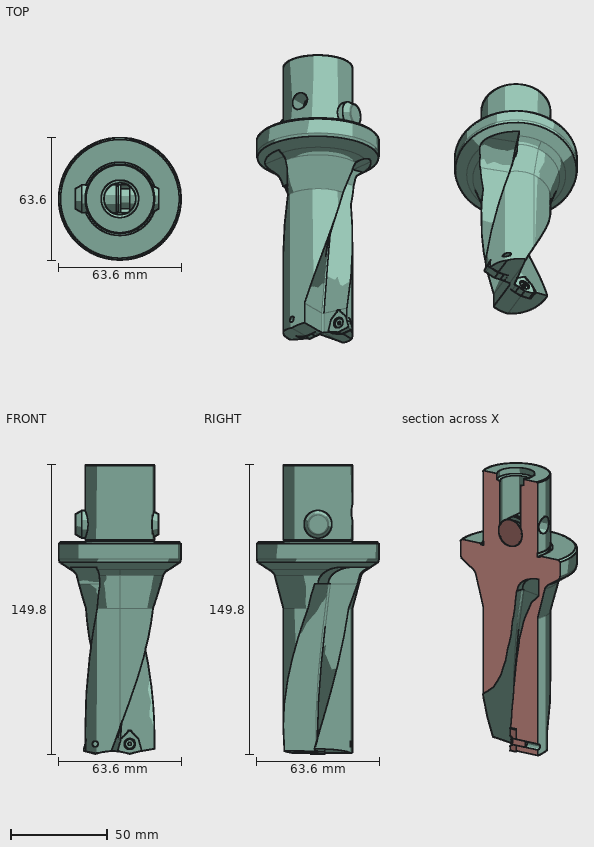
import cadquery as cq
import math


TOTAL_LENGTH = 149.8

SHANK_RADIUS = 18.0
SHANK_LENGTH = 40.0
SHANK_CHAMFER = 0.5
NECK_RADIUS = 17.7
NECK_TOP = 1.2
RELIEF_RADIUS = 19.0
RELIEF_DEPTH = 0.7
BORE_RADIUS = 8.2
COUNTERBORE_RADIUS = 9.7
COUNTERBORE_DEPTH = 3.3
COUNTERBORE_CONE = 0.6
SIDE_HOLE_RADIUS = 4.5
SIDE_HOLE_Z = 15.3

FLANGE_RADIUS = 31.8
FLANGE_CHAMFER = 1.0
RIM_BOTTOM = -8.7
BEVEL_BOTTOM = -10.5
BEVEL_WIDTH = 0.5
CONE_BOTTOM_RADIUS = 25.6
CONE_BOTTOM = -14.2
BLEND_MIDDLE_RADIUS = 23.7
BLEND_MIDDLE = -15.6
TAPER_TOP_RADIUS = 22.5
TAPER_TOP = -17.2
TAPER_BOTTOM = -34.3

DRILL_RADIUS = SHANK_RADIUS
TIP = SHANK_LENGTH - TOTAL_LENGTH
TIP_LOW = TIP + 0.5
TIP_VALLEY = TIP + 1.6
TIP_OUTER_RIM = TIP + 1.5
TIP_INNER_RIM = TIP + 2.7
BELOW_TIP = TIP - 1.5

INNER_TURN = 180
FACE_OFFSET = 0.3
FLUTE_TWIST_RATE = 0.9346
FLUTE_TWIST_END = -21.7
FLUTE_ROOT_RADIUS = 0.9
FLUTE_REACH = 45.0
FLUTE_SECTIONS = 7
RUNOUT_HEIGHT = 8.7
RUNOUT_LENGTH = 13.5
OUTER_FLUTE = {"start": -97.4, "wall": 3.0, "wall_drift": 0.05, "wall_lean": 0.0, "face_drift": 0.043}
INNER_FLUTE = {"start": -101.9, "wall": -0.6, "wall_drift": 0.078, "wall_lean": 5.0, "face_drift": 0.0}

INSERT_CORNERS = 3
INSERT_CORNER_RADIUS = 7.2
INSERT_MIDDLE_RADIUS = 5.2
INSERT_NOSE = 0.7
INSERT_NOSE_LIMIT = (INSERT_CORNER_RADIUS + INSERT_MIDDLE_RADIUS) / 2
INSERT_THICKNESS = 3.9
INSERT_Z = TIP + INSERT_MIDDLE_RADIUS
INNER_INSERT_X = 5.1
OUTER_INSERT_X = 12.7
SEATS = [(-OUTER_INSERT_X, 0), (-INNER_INSERT_X, INNER_TURN)]
CORNER_RELIEF_RADIUS = 1.0
SEAT_OPENING = 3.0
SCREW_RADIUS = 1.5
SCREW_LENGTH = 9.7
SCREW_HEAD_RADIUS = 2.8
SCREW_HEAD_HEIGHT = 1.8
SCREW_HEAD_SINK = 0.6
SOCKET_RADIUS = 0.9
SOCKET_DEPTH = 1.8

PIN_Z = 9.1
PIN_RADIUS = 7.2
PIN_TIP_RADIUS = 5.2
PIN_TIP_LENGTH = 3.5
LEFT_PIN_END = -23.0
LEFT_PIN_SHOULDER = 0.5
PIN_GROOVE_START = -1.8
PIN_GROOVE_END = -0.7
PIN_GROOVE_RADIUS = 6.6
PIN_RIM_FILLET = 0.6
STEM_RADIUS = 5.1
STEM_END = 5.1
RIGHT_PIN_END = 20.0


def revolve_about_z(outline):
    """Revolve an (r, z) outline drawn on the -Y side about the Z axis."""
    return outline.close().revolve(360, (0, 0, 0), (0, 1, 0))


def radial_plane():
    return cq.Workplane(cq.Plane((0, 0, 0), xDir=(0, -1, 0), normal=(-1, 0, 0)))


def turned_blank():
    """Shank, flange and drill body, before any cross feature is cut."""
    outline = (
        radial_plane()
        .moveTo(0, SHANK_LENGTH)
        .lineTo(SHANK_RADIUS - SHANK_CHAMFER, SHANK_LENGTH)
        .lineTo(SHANK_RADIUS, SHANK_LENGTH - SHANK_CHAMFER)
        .lineTo(SHANK_RADIUS, NECK_TOP)
        .lineTo(NECK_RADIUS, NECK_TOP - (SHANK_RADIUS - NECK_RADIUS))
        .lineTo(NECK_RADIUS, -RELIEF_DEPTH)
        .lineTo(RELIEF_RADIUS, -RELIEF_DEPTH)
        .lineTo(RELIEF_RADIUS, 0)
        .lineTo(FLANGE_RADIUS - FLANGE_CHAMFER, 0)
        .lineTo(FLANGE_RADIUS, -FLANGE_CHAMFER)
        .lineTo(FLANGE_RADIUS, RIM_BOTTOM)
        .lineTo(FLANGE_RADIUS - BEVEL_WIDTH, BEVEL_BOTTOM)
        .lineTo(CONE_BOTTOM_RADIUS, CONE_BOTTOM)
        .threePointArc((BLEND_MIDDLE_RADIUS, BLEND_MIDDLE), (TAPER_TOP_RADIUS, TAPER_TOP))
        .lineTo(DRILL_RADIUS, TAPER_BOTTOM)
        .lineTo(DRILL_RADIUS, BELOW_TIP)
        .lineTo(0, BELOW_TIP)
    )
    return revolve_about_z(outline)


def turn_about_z(shape, angle):
    return shape.rotate((0, 0, 0), (0, 0, 1), angle)


def tip_waste():
    """Stock below the tip, which runs straight along Y with a low ridge under each insert."""
    return (
        cq.Workplane("XZ")
        .moveTo(-DRILL_RADIUS, BELOW_TIP)
        .lineTo(-DRILL_RADIUS, TIP_OUTER_RIM)
        .lineTo(-OUTER_INSERT_X, TIP_LOW)
        .lineTo((INNER_INSERT_X - OUTER_INSERT_X) / 2, TIP_VALLEY)
        .lineTo(INNER_INSERT_X, TIP_LOW)
        .lineTo(DRILL_RADIUS, TIP_INNER_RIM)
        .lineTo(DRILL_RADIUS, BELOW_TIP)
        .close()
        .extrude(DRILL_RADIUS, both=True)
    )


def shank_bore():
    """Stepped bore that opens into the cross hole."""
    step = SHANK_LENGTH - COUNTERBORE_DEPTH
    outline = (
        radial_plane()
        .moveTo(0, SHANK_LENGTH)
        .lineTo(COUNTERBORE_RADIUS, SHANK_LENGTH)
        .lineTo(COUNTERBORE_RADIUS, step)
        .lineTo(BORE_RADIUS, step - COUNTERBORE_CONE)
        .lineTo(BORE_RADIUS, PIN_Z)
        .lineTo(0, PIN_Z)
    )
    return revolve_about_z(outline)


def cross_hole():
    return cq.Workplane("YZ").center(0, PIN_Z).circle(PIN_RADIUS).extrude(SHANK_RADIUS, both=True)


def side_hole():
    """Radial hole from the +Y side into the bore."""
    return cq.Workplane("XZ").center(0, SIDE_HOLE_Z).circle(SIDE_HOLE_RADIUS).extrude(-SHANK_RADIUS)


def flute_frame(z, flute):
    """Plane at height z with its origin at the flute root and its axes along the wall and face."""
    rise = z - flute["start"]
    turn = math.radians(FLUTE_TWIST_RATE * rise)
    wall_x = -(flute["wall"] + flute["wall_drift"] * rise)
    face_y = FACE_OFFSET + flute["face_drift"] * rise
    root_x = wall_x * math.cos(turn) - face_y * math.sin(turn)
    root_y = wall_x * math.sin(turn) + face_y * math.cos(turn)
    return cq.Plane((root_x, root_y, z), xDir=(math.cos(turn), math.sin(turn), 0), normal=(0, 0, 1))


def flute_section(z, flute):
    """Square corner with a rounded root: the wall runs along local +Y and the face along local -X."""
    wall_top_x = FLUTE_REACH * math.tan(math.radians(flute["wall_lean"]))
    arc_inset = FLUTE_ROOT_RADIUS * (1 - math.sqrt(0.5))
    return (
        cq.Workplane(flute_frame(z, flute))
        .moveTo(-FLUTE_ROOT_RADIUS, 0)
        .threePointArc((-arc_inset, arc_inset), (0, FLUTE_ROOT_RADIUS))
        .lineTo(wall_top_x, FLUTE_REACH)
        .lineTo(-FLUTE_REACH, FLUTE_REACH)
        .lineTo(-FLUTE_REACH, 0)
        .close()
    )


def twisted_flute(bottom, flute):
    step = (FLUTE_TWIST_END - bottom) / (FLUTE_SECTIONS - 1)
    heights = [bottom + step * i for i in range(FLUTE_SECTIONS)]
    wires = [flute_section(z, flute).val() for z in heights]
    return cq.Workplane(cq.Solid.makeLoft(wires))


def flute_tip(flute):
    """Straight length of flute from the start of the twist to below the tip."""
    return flute_section(flute["start"], flute).extrude(BELOW_TIP - flute["start"])


def flute_runout(flute):
    """Upper end, where the wall curves over into a level ceiling."""
    frame = flute_frame(FLUTE_TWIST_END, flute)
    face_plane = cq.Plane(frame.origin, xDir=-frame.xDir, normal=frame.yDir)
    return (
        cq.Workplane(face_plane)
        .ellipseArc(RUNOUT_LENGTH, RUNOUT_HEIGHT, 90, 180, sense=-1)
        .lineTo(FLUTE_REACH, RUNOUT_HEIGHT)
        .lineTo(FLUTE_REACH, 0)
        .close()
        .extrude(FLUTE_REACH)
    )


def outer_flute():
    twist = twisted_flute(OUTER_FLUTE["start"], OUTER_FLUTE)
    return twist.union(flute_tip(OUTER_FLUTE)).union(flute_runout(OUTER_FLUTE))


def inner_flute():
    twist = twisted_flute(BELOW_TIP, INNER_FLUTE)
    return turn_about_z(twist.union(flute_runout(INNER_FLUTE)), INNER_TURN)


def insert_plane(x):
    """Plane on the cutting face of an insert, with its normal pointing into the seat."""
    return cq.Plane((x, FACE_OFFSET, INSERT_Z), xDir=(1, 0, 0), normal=(0, -1, 0))


def insert_corners():
    """Trigon outline: three sharp corners with a blunt corner between each pair."""
    points = []
    step = math.pi / INSERT_CORNERS
    for i in range(INSERT_CORNERS):
        sharp = math.pi / 2 + 2 * i * step
        blunt = sharp + step
        points.append((INSERT_CORNER_RADIUS * math.cos(sharp), INSERT_CORNER_RADIUS * math.sin(sharp)))
        points.append((INSERT_MIDDLE_RADIUS * math.cos(blunt), INSERT_MIDDLE_RADIUS * math.sin(blunt)))
    return points


def insert_blank(x):
    """Trigon plate with its three sharp corners rounded."""
    plate = cq.Workplane(insert_plane(x)).polyline(insert_corners()).close().extrude(INSERT_THICKNESS)
    middle = plate.val().Center()
    noses = plate.edges("|Y").filter(lambda edge: (edge.Center() - middle).Length > INSERT_NOSE_LIMIT)
    return noses.fillet(INSERT_NOSE)


def screw_blank(x, length):
    """Countersunk head on a plain shank."""
    head = (
        cq.Workplane(insert_plane(x))
        .circle(SCREW_HEAD_RADIUS)
        .workplane(offset=SCREW_HEAD_HEIGHT)
        .circle(SCREW_RADIUS)
        .loft()
    )
    shank = cq.Workplane(insert_plane(x)).circle(SCREW_RADIUS).extrude(length)
    return head.union(shank)


def make_insert(x):
    return insert_blank(x).cut(screw_blank(x, INSERT_THICKNESS))


def make_screw(x):
    socket = cq.Workplane(insert_plane(x)).polygon(6, 2 * SOCKET_RADIUS).extrude(SOCKET_DEPTH)
    gap_above_head = cq.Workplane(insert_plane(x)).circle(SCREW_HEAD_RADIUS).extrude(SCREW_HEAD_SINK)
    return screw_blank(x, SCREW_LENGTH).cut(gap_above_head).cut(socket)


def insert_seat(x):
    """Pocket for the insert, with a relieved upper corner and a hole through the land."""
    relief = (
        cq.Workplane(insert_plane(x))
        .center(0, INSERT_CORNER_RADIUS - CORNER_RELIEF_RADIUS)
        .circle(CORNER_RELIEF_RADIUS)
        .extrude(INSERT_THICKNESS)
    )
    opening = cq.Workplane(insert_plane(x)).polyline(insert_corners()).close().extrude(-SEAT_OPENING)
    return insert_blank(x).union(opening).union(relief).union(screw_blank(x, DRILL_RADIUS))


def make_drill_body():
    body = (
        turned_blank()
        .cut(tip_waste())
        .cut(shank_bore())
        .cut(cross_hole())
        .cut(side_hole())
        .cut(outer_flute())
        .cut(inner_flute())
    )
    for x, angle in SEATS:
        body = body.cut(turn_about_z(insert_seat(x), angle))
    return body


def revolve_pin(outline):
    """Revolve an outline of (x, r) points about the axis of the cross hole."""
    return outline.close().revolve(360, (0, 0, 0), (1, 0, 0)).translate((0, 0, PIN_Z))


def make_left_pin():
    """Cone-ended pin with a groove and a stem that meets the right pin."""
    pin = revolve_pin(
        cq.Workplane("XZ")
        .moveTo(LEFT_PIN_END, 0)
        .lineTo(LEFT_PIN_END, PIN_TIP_RADIUS)
        .lineTo(LEFT_PIN_END + PIN_TIP_LENGTH, PIN_RADIUS)
        .lineTo(PIN_GROOVE_START, PIN_RADIUS)
        .lineTo(PIN_GROOVE_START, PIN_GROOVE_RADIUS)
        .lineTo(PIN_GROOVE_END, PIN_GROOVE_RADIUS)
        .lineTo(PIN_GROOVE_END, PIN_RADIUS)
        .lineTo(LEFT_PIN_SHOULDER, PIN_RADIUS)
        .lineTo(LEFT_PIN_SHOULDER, STEM_RADIUS)
        .lineTo(STEM_END, STEM_RADIUS)
        .lineTo(STEM_END, 0)
    )
    return pin.faces("<X").edges().fillet(PIN_RIM_FILLET)


def make_right_pin():
    """Cone-ended plug that closes the other end of the cross hole."""
    pin = revolve_pin(
        cq.Workplane("XZ")
        .moveTo(STEM_END, 0)
        .lineTo(STEM_END, PIN_RADIUS)
        .lineTo(RIGHT_PIN_END - PIN_TIP_LENGTH, PIN_RADIUS)
        .lineTo(RIGHT_PIN_END, PIN_TIP_RADIUS)
        .lineTo(RIGHT_PIN_END, 0)
    )
    return pin.faces(">X").edges().fillet(PIN_RIM_FILLET)


drill_body = make_drill_body()
left_pin = make_left_pin()
right_pin = make_right_pin()
inserts = [turn_about_z(make_insert(x), angle) for x, angle in SEATS]
screws = [turn_about_z(make_screw(x), angle) for x, angle in SEATS]

result = cq.Compound.makeCompound([
    drill_body.val(),
    left_pin.val(),
    right_pin.val(),
    *[insert.val() for insert in inserts],
    *[screw.val() for screw in screws],
])